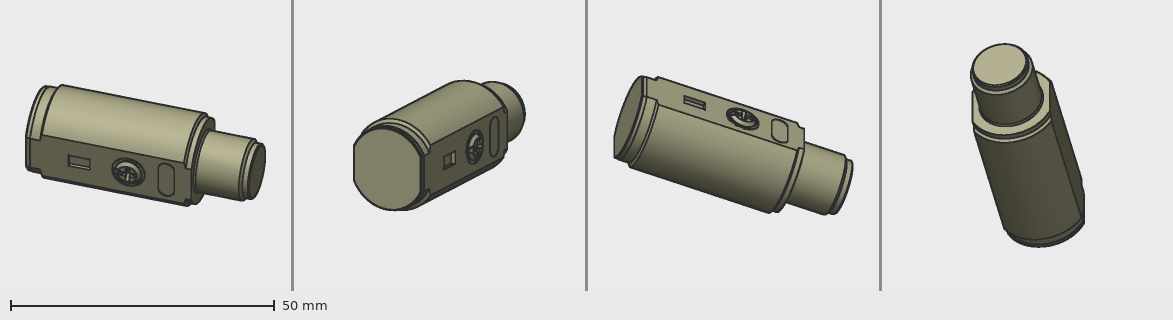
import cadquery as cq


total_length = 43.8
body_diameter = 18.0
body_radius = body_diameter / 2
flat_distance = 7.5

cap_length = 0.95
cap_radius = 8.2
cap_bevel = 0.2
cap_flat_inset = 0.1

groove_radius = 8.3
groove_end = 2.95
body_start = 3.35
body_end = 31.55
flange_start = 31.95
flange_radius = 8.35
flange_end = 33.03

neck_root_radius = 6.2
neck_root_end = 33.4
neck_radius = 6.0
neck_end = 41.95
tip_start = 42.5
tip_radius = 5.4
tip_bevel = 0.25

window_start = 8.6
window_length = 4.25
window_height = 2.55
window_depth = 0.75
window_wall_slope = 0.15

panel_x = 28.05
panel_width = 3.25
panel_height = 7.85
panel_depth = 0.1

dial_x = 20.5
dial_recess_radius = 3.25
dial_recess_depth = 0.2
dial_height = 0.7
dial_top_radius = 1.9
dial_base_radius = 2.6
pointer_reach = 3.15
pointer_root = 1.85
pointer_flare = 0.58
pointer_tip_height = 0.1

stop_inner_radius = 2.7
stop_rim_width = 0.05
stop_height = 0.18
stop_start = 1.58

cross_length = 3.3
cross_width = 0.85
cross_floor_width = 0.75
cross_depth = 1.1


def on_flat(x, height=0.0):
    """Workplane facing -Y, at the given outward height from the -Y flat; its local axes are X and Z."""
    return cq.Workplane("XZ", origin=(x, -flat_distance - height, 0))


def revolve_about_x(stations):
    """Solid of revolution about X through (x, radius) stations."""
    outline = [(stations[0][0], 0)] + stations + [(stations[-1][0], 0)]
    return cq.Workplane("XY").polyline(outline).close().revolve(360, (0, 0, 0), (1, 0, 0))


def cone(x, base_height, base_radius, top_height, top_radius):
    """Truncated cone standing on the -Y flat."""
    return (
        on_flat(x, base_height)
        .circle(base_radius)
        .workplane(offset=top_height - base_height)
        .circle(top_radius)
        .loft(ruled=True)
    )


def flatted_bar(start, end, half_width):
    """Box that limits a round section to two flats at +/- half_width in Y."""
    section = cq.Workplane("YZ", origin=(start, 0, 0)).rect(2 * half_width, body_diameter)
    return section.extrude(end - start)


def make_body():
    cap = revolve_about_x([(0, cap_radius), (cap_length, cap_radius)])
    cap = cap.intersect(flatted_bar(0, cap_length, flat_distance - cap_flat_inset))
    cap = cap.faces("<X").chamfer(cap_bevel)
    barrel = revolve_about_x([
        (cap_length, groove_radius),
        (groove_end, groove_radius),
        (body_start, body_radius),
        (body_end, body_radius),
        (flange_start, flange_radius),
        (flange_end, flange_radius),
    ])
    barrel = barrel.intersect(flatted_bar(cap_length, flange_end, flat_distance))
    neck = revolve_about_x([
        (flange_end, neck_root_radius),
        (neck_root_end, neck_radius),
        (neck_end, neck_radius),
        (tip_start, tip_radius),
        (total_length - tip_bevel, tip_radius),
        (total_length, tip_radius - tip_bevel),
    ])
    return cap.union(barrel).union(neck)


def make_window():
    window_end = window_start + window_length
    floor_y = -flat_distance + window_depth
    return (
        cq.Workplane("XY")
        .polyline([
            (window_start, -flat_distance),
            (window_end, -flat_distance),
            (window_end - window_wall_slope, floor_y),
            (window_start, floor_y),
        ])
        .close()
        .extrude(window_height / 2, both=True)
    )


def make_panel():
    return on_flat(panel_x).slot2D(panel_height, panel_width, 90).extrude(-panel_depth)


def make_pointer():
    """Wedge that narrows towards -X and slopes down to its tip."""
    half_width = pointer_flare * pointer_reach
    plan = (
        on_flat(dial_x, -dial_recess_depth)
        .polyline([(-pointer_reach, 0), (0, half_width), (0, -half_width)])
        .close()
        .extrude(dial_recess_depth + dial_height)
    )
    floor_y = -flat_distance + dial_recess_depth
    top_y = -flat_distance - dial_height
    side = (
        cq.Workplane("XY", origin=(dial_x, 0, 0))
        .polyline([
            (-pointer_reach, floor_y),
            (-pointer_reach, -flat_distance - pointer_tip_height),
            (-pointer_root, top_y),
            (0, top_y),
            (0, floor_y),
        ])
        .close()
        .extrude(half_width, both=True)
    )
    return plan.intersect(side)


def make_stop():
    """Segment of a conical ring, cut off square at its -X end."""
    rim_radius = stop_inner_radius + stop_rim_width
    ring = cone(dial_x, -dial_recess_depth, dial_recess_radius, stop_height, rim_radius)
    bore = on_flat(dial_x, -dial_recess_depth).circle(stop_inner_radius).extrude(
        dial_recess_depth + stop_height
    )
    keep = (
        on_flat(dial_x + stop_start, -dial_recess_depth)
        .rect(2 * dial_recess_radius, 2 * dial_recess_radius)
        .extrude(dial_recess_depth + stop_height)
        .translate((dial_recess_radius, 0, 0))
    )
    return ring.cut(bore).intersect(keep)


def make_cross_arm(length_x, length_z):
    """Arm of the cross recess, tapering to a small square floor."""
    return (
        on_flat(dial_x, dial_height)
        .rect(length_x, length_z)
        .workplane(offset=-cross_depth)
        .rect(cross_floor_width, cross_floor_width)
        .loft(ruled=True)
    )


def add_dial(body):
    recess = on_flat(dial_x).circle(dial_recess_radius).extrude(-dial_recess_depth)
    base = on_flat(dial_x, -dial_recess_depth).circle(dial_base_radius).extrude(dial_recess_depth)
    crown = cone(dial_x, 0, dial_base_radius, dial_height, dial_top_radius)
    body = body.cut(recess).union(base).union(crown).union(make_pointer()).union(make_stop())
    body = body.cut(make_cross_arm(cross_length, cross_width))
    return body.cut(make_cross_arm(cross_width, cross_length))


result = add_dial(make_body().cut(make_window()).cut(make_panel()))